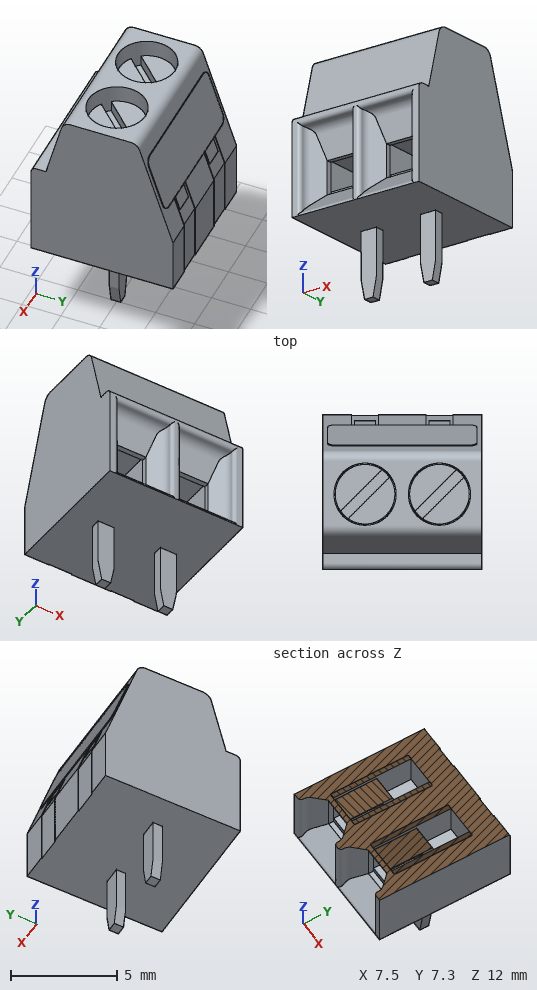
import cadquery as cq
import math


POLE_PITCH = 3.5
POLE_COUNT = 2
POLE_CENTRES = [(i - (POLE_COUNT - 1) / 2) * POLE_PITCH for i in range(POLE_COUNT)]

WIDTH = 7.5
DEPTH = 7.3
TOTAL_HEIGHT = 12
PIN_LENGTH = 3.5
HEIGHT = TOTAL_HEIGHT - PIN_LENGTH
STEP_DEPTH = 0.77
STEP_HEIGHT = 5.09
STEP_RADIUS = 0.29
TOP_FRONT = 1.67
TOP_BACK = 5.47
TOP_RADIUS = 0.5
BACK_HEIGHT = 2.92

ENTRY_WIDTH = 3
ENTRY_TOP = 4.6
ENTRY_BOTTOM = 0.1
ENTRY_SIDE_DEPTH = 0.43
ENTRY_TOP_DEPTH = 0.7
RIM_RADIUS = 0.19
ENTRY_INNER_RADIUS = 0.5
WINDOW_WIDTH = 1.6
WINDOW_BOTTOM = 1.24
WINDOW_TOP = 2.98
WINDOW_DEPTH = 1.16

PIN_Y = 3.6
PIN_THICKNESS = 0.5
PIN_WIDTH = 0.9
PIN_TIP_WIDTH = 0.5
PIN_TIP_LENGTH = 1.01
SHOULDER_HEIGHT = 2.71
TONGUE_WIDTH = 1.4
BEND_RADIUS = 0.26
PIN_FRONT = PIN_Y - PIN_THICKNESS / 2
PIN_BACK = PIN_Y + PIN_THICKNESS / 2
TONGUE_BOTTOM = SHOULDER_HEIGHT + BEND_RADIUS
TONGUE_TOP = TONGUE_BOTTOM + PIN_THICKNESS

CAGE_FRONT = 1.44
CAGE_WALL = 0.25
CAGE_FLOOR = 0.23
CAGE_TOP = 4.8
CAGE_DEPTH = 2 * (PIN_Y - CAGE_FRONT)
CAGE_WIDTH = WINDOW_WIDTH + 2 * CAGE_WALL
CAGE_FLOOR_TOP = WINDOW_BOTTOM + CAGE_FLOOR

SCREW_Y = 3.55
BORE_RADIUS = 1.46
HEAD_RADIUS = 1.4
SHANK_RADIUS = 0.6
HEAD_RECESS = 0.85
DRIVE_WIDTH = 0.5
DRIVE_DEPTH = 0.58
DRIVE_ANGLE = 45
HEAD_TOP = HEIGHT - HEAD_RECESS

PLATE_WIDTH = 7.05
PLATE_START = 1.68
PLATE_LENGTH = 3.07
PLATE_THICKNESS = 0.05
PLATE_RADIUS = 0.4
NOTCH_WIDTH = 1.27
NOTCH_DEPTH = 0.04
POCKET_WIDTH = 0.98
POCKET_START = 0.8
POCKET_DEPTH = 0.05

SLOPE_RUN = DEPTH - TOP_BACK
SLOPE_RISE = HEIGHT - BACK_HEIGHT
SLOPE_LENGTH = math.hypot(SLOPE_RUN, SLOPE_RISE)
CUT_MARGIN = 0.12


def corner_arc(before, corner, after, radius):
    """Start, middle and end of the arc that rounds a corner between two straight lines."""
    corner = cq.Vector(*corner)
    towards_before = (cq.Vector(*before) - corner).normalized()
    towards_after = (cq.Vector(*after) - corner).normalized()
    half_angle = towards_before.getAngle(towards_after) / 2
    setback = radius / math.tan(half_angle)
    middle_distance = radius / math.sin(half_angle) - radius
    bisector = (towards_before + towards_after).normalized()
    points = (
        corner + towards_before * setback,
        corner + bisector * middle_distance,
        corner + towards_after * setback,
    )
    return [(point.x, point.y) for point in points]


def side_profile(draw_outline, span, centre_x):
    """Prism along X, centred on centre_x; draw_outline adds its YZ outline to a workplane."""
    outline = draw_outline(cq.Workplane("YZ", origin=(centre_x, 0, 0)))
    return outline.close().extrude(span / 2, both=True)


def box(width, y_range, z_range, centre_x=0):
    """Box centred on centre_x and spanning the given Y and Z ranges."""
    depth = y_range[1] - y_range[0]
    height = z_range[1] - z_range[0]
    base = cq.Workplane("XY", origin=(centre_x, y_range[0], z_range[0]))
    return base.box(width, depth, height, centered=(True, False, False))


def slope_point(distance, inset=0):
    """YZ point on the sloping back, measured up from its lower edge and shifted forward by inset."""
    share = distance / SLOPE_LENGTH
    return (DEPTH - SLOPE_RUN * share - inset, BACK_HEIGHT + SLOPE_RISE * share)


def housing_body():
    step_corner = (0, STEP_HEIGHT)
    step_root = (STEP_DEPTH, STEP_HEIGHT)
    top_front = (TOP_FRONT, HEIGHT)
    top_back = (TOP_BACK, HEIGHT)
    back_corner = (DEPTH, BACK_HEIGHT)
    step_arc = corner_arc((0, 0), step_corner, step_root, STEP_RADIUS)
    front_arc = corner_arc(step_root, top_front, top_back, TOP_RADIUS)
    back_arc = corner_arc(top_front, top_back, back_corner, TOP_RADIUS)

    def outline(sketch):
        return (
            sketch.moveTo(0, 0)
            .lineTo(*step_arc[0])
            .threePointArc(*step_arc[1:])
            .lineTo(*step_root)
            .lineTo(*front_arc[0])
            .threePointArc(*front_arc[1:])
            .lineTo(*back_arc[0])
            .threePointArc(*back_arc[1:])
            .lineTo(*back_corner)
            .lineTo(DEPTH, 0)
        )

    return side_profile(outline, WIDTH, 0)


def label_plate():
    """Thin rounded plate raised on the sloping back."""
    outward = cq.Vector(0, SLOPE_RISE, SLOPE_RUN)
    plate_centre = (0, *slope_point(PLATE_START + PLATE_LENGTH / 2))
    back_plane = cq.Plane(origin=plate_centre, xDir=(1, 0, 0), normal=outward)
    plate = cq.Workplane(back_plane).rect(PLATE_WIDTH, PLATE_LENGTH).extrude(PLATE_THICKNESS)
    return plate.edges(cq.selectors.ParallelDirSelector(outward)).fillet(PLATE_RADIUS)


def back_notch(centre_x):
    """Shallow notch up the back wall to the plate, with a deeper pocket just below the plate."""

    def notch_outline(sketch):
        return sketch.polyline([
            (DEPTH, 0),
            (DEPTH, BACK_HEIGHT),
            slope_point(PLATE_START),
            slope_point(PLATE_START, NOTCH_DEPTH),
            slope_point(0, NOTCH_DEPTH),
            (DEPTH - NOTCH_DEPTH, 0),
        ])

    def pocket_outline(sketch):
        return sketch.polyline([
            slope_point(POCKET_START),
            slope_point(PLATE_START),
            slope_point(PLATE_START, POCKET_DEPTH),
            slope_point(POCKET_START, POCKET_DEPTH),
        ])

    notch = side_profile(notch_outline, NOTCH_WIDTH, centre_x)
    return notch.union(side_profile(pocket_outline, POCKET_WIDTH, centre_x))


def entry_plan(centre_x):
    """Wire entry seen in plan: rounded rim, short side wall, then a taper to the window."""
    half_entry = ENTRY_WIDTH / 2
    half_window = WINDOW_WIDTH / 2
    rim = (half_entry, 0)
    wall_end = (half_entry, ENTRY_SIDE_DEPTH)
    window = (half_window, WINDOW_DEPTH)
    rim_arc = corner_arc((WIDTH, 0), rim, wall_end, RIM_RADIUS)
    wall_arc = corner_arc(rim, wall_end, window, ENTRY_INNER_RADIUS)
    half_outline = (
        cq.Workplane("XY", origin=(centre_x, 0, 0))
        .moveTo(0, -CUT_MARGIN)
        .lineTo(rim_arc[0][0], -CUT_MARGIN)
        .lineTo(*rim_arc[0])
        .threePointArc(*rim_arc[1:])
        .lineTo(*wall_arc[0])
        .threePointArc(*wall_arc[1:])
        .lineTo(*window)
        .lineTo(0, WINDOW_DEPTH)
    )
    return half_outline.mirrorY().extrude(HEIGHT)


def entry_section(centre_x):
    """Wire entry seen from the side: sloping floor, flat roof and a steep back face."""
    roof_rim = (0, ENTRY_TOP)
    roof_end = (ENTRY_TOP_DEPTH, ENTRY_TOP)
    window_top = (WINDOW_DEPTH, WINDOW_TOP)
    floor_rim = (0, ENTRY_BOTTOM)
    window_bottom = (WINDOW_DEPTH, WINDOW_BOTTOM)
    roof_rim_arc = corner_arc((0, HEIGHT), roof_rim, roof_end, RIM_RADIUS)
    roof_arc = corner_arc(roof_rim, roof_end, window_top, ENTRY_INNER_RADIUS)
    floor_arc = corner_arc(window_bottom, floor_rim, (0, -HEIGHT), RIM_RADIUS)

    def outline(sketch):
        return (
            sketch.moveTo(-CUT_MARGIN, roof_rim_arc[0][1])
            .lineTo(*roof_rim_arc[0])
            .threePointArc(*roof_rim_arc[1:])
            .lineTo(*roof_arc[0])
            .threePointArc(*roof_arc[1:])
            .lineTo(*window_top)
            .lineTo(*window_bottom)
            .lineTo(*floor_arc[0])
            .threePointArc(*floor_arc[1:])
            .lineTo(-CUT_MARGIN, floor_arc[2][1])
        )

    return side_profile(outline, POLE_PITCH, centre_x)


def wire_entry(centre_x):
    """Funnel from the front face, and the straight passage behind it to the cage."""
    funnel = entry_plan(centre_x).intersect(entry_section(centre_x))
    passage = box(WINDOW_WIDTH, (WINDOW_DEPTH, CAGE_FRONT), (WINDOW_BOTTOM, WINDOW_TOP), centre_x)
    return funnel, passage


def cage_chamber(centre_x):
    return box(CAGE_WIDTH, (CAGE_FRONT, CAGE_FRONT + CAGE_DEPTH), (WINDOW_BOTTOM, CAGE_TOP), centre_x)


def screw_bore(centre_x):
    bore = cq.Workplane("XY", origin=(centre_x, SCREW_Y, CAGE_TOP))
    return bore.circle(BORE_RADIUS).extrude(HEIGHT - CAGE_TOP)


def pin_slot(centre_x):
    return box(PIN_WIDTH, (PIN_FRONT, PIN_BACK), (0, CAGE_FLOOR_TOP), centre_x)


def make_housing():
    housing = housing_body()
    for centre_x in POLE_CENTRES:
        housing = housing.cut(back_notch(centre_x))
        for cutter in wire_entry(centre_x):
            housing = housing.cut(cutter)
        housing = housing.cut(cage_chamber(centre_x))
        housing = housing.cut(screw_bore(centre_x))
        housing = housing.cut(pin_slot(centre_x))
    return housing.union(label_plate())


def make_cage(centre_x):
    wire_space = box(
        WINDOW_WIDTH, (CAGE_FRONT, CAGE_FRONT + CAGE_DEPTH), (CAGE_FLOOR_TOP, TONGUE_TOP), centre_x
    )
    screw_hole = (
        cq.Workplane("XY", origin=(centre_x, SCREW_Y, TONGUE_TOP))
        .circle(SHANK_RADIUS)
        .extrude(CAGE_TOP - TONGUE_TOP)
    )
    return cage_chamber(centre_x).cut(wire_space).cut(screw_hole).cut(pin_slot(centre_x))


def make_pin(centre_x):
    leg_outline = [
        (PIN_WIDTH / 2, CAGE_FLOOR_TOP),
        (PIN_WIDTH / 2, PIN_TIP_LENGTH - PIN_LENGTH),
        (PIN_TIP_WIDTH / 2, -PIN_LENGTH),
        (-PIN_TIP_WIDTH / 2, -PIN_LENGTH),
        (-PIN_WIDTH / 2, PIN_TIP_LENGTH - PIN_LENGTH),
        (-PIN_WIDTH / 2, CAGE_FLOOR_TOP),
    ]
    leg = (
        cq.Workplane("XZ", origin=(centre_x, PIN_BACK, 0))
        .polyline(leg_outline)
        .close()
        .extrude(PIN_THICKNESS)
    )
    shoulder = box(WINDOW_WIDTH, (PIN_FRONT, PIN_BACK), (CAGE_FLOOR_TOP, SHOULDER_HEIGHT), centre_x)
    bend_y = PIN_FRONT - BEND_RADIUS

    def tongue_outline(sketch):
        outer_radius = BEND_RADIUS + PIN_THICKNESS
        return (
            sketch.moveTo(PIN_FRONT, SHOULDER_HEIGHT)
            .radiusArc((bend_y, TONGUE_BOTTOM), -BEND_RADIUS)
            .lineTo(CAGE_FRONT, TONGUE_BOTTOM)
            .lineTo(CAGE_FRONT, TONGUE_TOP)
            .lineTo(bend_y, TONGUE_TOP)
            .radiusArc((PIN_BACK, SHOULDER_HEIGHT), outer_radius)
        )

    return leg.union(shoulder).union(side_profile(tongue_outline, TONGUE_WIDTH, centre_x))


def make_screw(centre_x):
    shank_base = cq.Workplane("XY").workplane(offset=TONGUE_TOP)
    shank = shank_base.circle(SHANK_RADIUS).extrude(CAGE_TOP - TONGUE_TOP)
    head_base = cq.Workplane("XY").workplane(offset=CAGE_TOP)
    head = head_base.circle(HEAD_RADIUS).extrude(HEAD_TOP - CAGE_TOP)
    drive_slot = box(
        2 * BORE_RADIUS, (-DRIVE_WIDTH / 2, DRIVE_WIDTH / 2), (HEAD_TOP - DRIVE_DEPTH, HEAD_TOP)
    ).rotate((0, 0, 0), (0, 0, 1), DRIVE_ANGLE)
    return shank.union(head).cut(drive_slot).translate((centre_x, SCREW_Y, 0))


housing = make_housing()
cages = [make_cage(centre_x) for centre_x in POLE_CENTRES]
pins = [make_pin(centre_x) for centre_x in POLE_CENTRES]
screws = [make_screw(centre_x) for centre_x in POLE_CENTRES]

bodies = [housing, *cages, *pins, *screws]
result = cq.Compound.makeCompound([body.solids().val() for body in bodies])